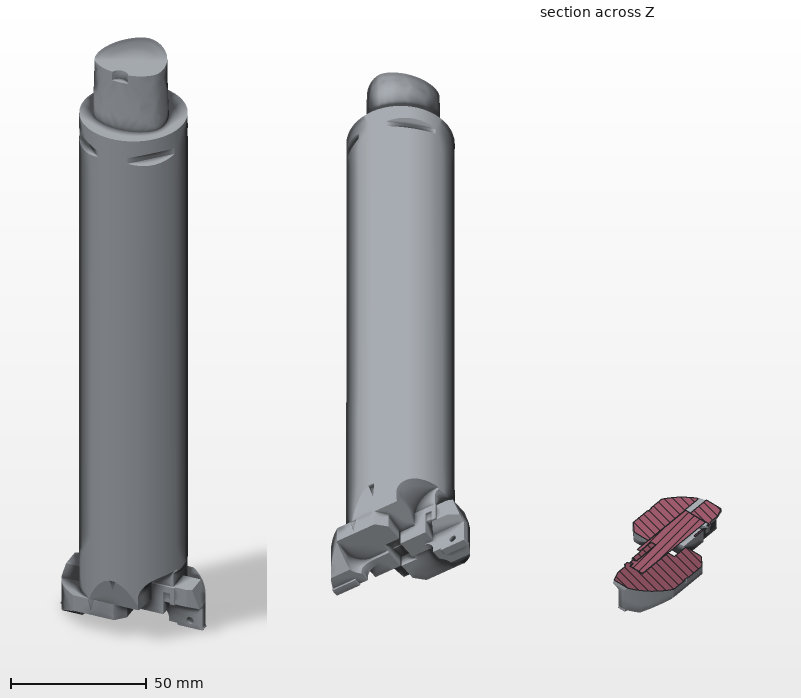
import cadquery as cq
import math


bar_radius = 20.0
shank_length = 24.0
bar_length = 220.0
cutting_radius = 28.0
left_drop = 0.65
margin = 10.0

polygon_diameter = 28.0
polygon_eccentricity = 1.0
taper_per_side = 1 / 40
key_radius = 3.5
key_centre_y = -13.6
key_depth = 3.6

groove_z = -8.6
groove_depth = 2.3
groove_floor = 2.4
groove_mouth = 5.2

seat_angle = math.radians(10)
seat_ridge_z = -207.6
flange_y = 17.2
seat_rim_z = seat_ridge_z + flange_y * math.tan(seat_angle)
relief_top_z = -193.2
side_flat_x = 18.0
side_flat_top_z = -193.0
side_flat_fillet = 2.0
gullet_x = 9.5
gullet_y = -4.4
gullet_top_z = -192.0
gullet_radius = 8.2

slide_top_z = -200.2
slide_bottom_z = -218.5
block_half_width = 4.4
plate_front_y = -5.2
plate_outer_x = 18.7
slide_outer_x = 27.7
lean_bottom_z = -208.5
block_top_x = 25.2
flange_inner_x = 3.3
flange_inner_y = 6.0
flange_chamfer = 3.7
flange_arc_middle = (23.2, 11.2)
flange_arc_end = (16.7, flange_y)
block_corner_x = 23.2
block_corner_y = -2.7
underside_rim_z = -211.6
underside_flat_y = 8.2
gap_half_width = 14.3
gap_top_z = -212.6
gap_fillet = 4.5
step_half_width = 17.0
step_top_z = -211.3
step_y = 2.9
step_fillet = 6.6
rake_top_z = -209.8
chip_ramp_top_z = seat_ridge_z
chip_recess_top_z = -202.9
chip_recess_x = 17.0
chip_recess_depth = 5.2

insert_inscribed_radius = 3.175
insert_thickness = 3.18
insert_nose_radius = 0.4
insert_hole_diameter = 2.8
insert_bottom_z = -bar_length + left_drop
insert_centre_z = insert_bottom_z + insert_inscribed_radius
insert_half_side = insert_inscribed_radius * math.sqrt(3)
nose_setback = insert_nose_radius * (math.sqrt(3) - 1)
insert_centre_x = cutting_radius - insert_half_side + nose_setback

arrow_width = 2.6
arrow_length = 5.2
slide_arrow_x = 9.6
bar_arrow_y = 18.5
slide_arrow_depth = 0.3


def box(x_range, y_range, z_range):
    """Axis-aligned box given by its limits."""
    spans = [high - low for low, high in (x_range, y_range, z_range)]
    return cq.Workplane("XY").box(*spans, centered=False).translate((x_range[0], y_range[0], z_range[0]))


def prism_along_y(points, y_low, y_high):
    """Prism along Y over a polygon of (x, z) points."""
    return cq.Workplane("XZ", origin=(0, y_high, 0)).polyline(points).close().extrude(y_high - y_low)


def prism_along_x(points, x_low, x_high):
    """Prism along X over a polygon of (y, z) points."""
    return cq.Workplane("YZ", origin=(x_low, 0, 0)).polyline(points).close().extrude(x_high - x_low)


def half_turn(shape):
    return shape.rotate((0, 0, 0), (0, 0, 1), 180)


def seat_height(y):
    return seat_ridge_z + abs(y) * math.tan(seat_angle)


def polygon_point(diameter):
    """Three-lobed coupling curve with one lobe towards +Y."""
    e = polygon_eccentricity

    def point(t):
        angle = 2 * math.pi * t
        across = diameter / 2 * math.cos(angle) - 2 * e * math.cos(2 * angle) + e * math.cos(4 * angle)
        along = diameter / 2 * math.sin(angle) + 2 * e * math.sin(2 * angle) + e * math.sin(4 * angle)
        return (along, -across)

    return point


def shank():
    top_diameter = polygon_diameter - 2 * taper_per_side * shank_length
    body = (
        cq.Workplane("XY")
        .parametricCurve(polygon_point(polygon_diameter))
        .workplane(offset=shank_length)
        .parametricCurve(polygon_point(top_diameter))
        .loft(ruled=True)
    )
    key = (
        cq.Workplane("XY", origin=(0, key_centre_y, shank_length - key_depth))
        .circle(key_radius)
        .extrude(key_depth + margin)
    )
    return body.cut(key)


def gripper_groove(angle):
    floor_x = bar_radius - groove_depth
    widening = (groove_mouth - groove_floor) / 2 / groove_depth
    outer_half = groove_floor / 2 + widening * (groove_depth + margin)
    outer_x = bar_radius + margin
    profile = [
        (floor_x, groove_z - groove_floor / 2),
        (outer_x, groove_z - outer_half),
        (outer_x, groove_z + outer_half),
        (floor_x, groove_z + groove_floor / 2),
    ]
    return prism_along_y(profile, -bar_radius, bar_radius).rotate((0, 0, 0), (0, 0, 1), angle)


def below_seat(drop):
    """Space under the +Y half of the roof-shaped seat."""
    far_y = bar_radius + margin
    profile = [
        (0, seat_ridge_z - drop),
        (far_y, seat_height(far_y) - drop),
        (far_y, -bar_length - margin),
        (0, -bar_length - margin),
    ]
    return prism_along_x(profile, -bar_radius - margin, bar_radius + margin)


def end_cuts():
    """Inclined flat on +Y, side flat on +X and the chip gullet in front of it."""
    lean = (bar_radius - flange_y) / (relief_top_z - seat_rim_z)
    deep_z = -bar_length
    deep_y = bar_radius - lean * (relief_top_z - deep_z)
    relief = prism_along_x(
        [(bar_radius, relief_top_z), (deep_y, deep_z), (bar_radius + margin, deep_z),
         (bar_radius + margin, relief_top_z)],
        -bar_radius, bar_radius,
    )
    outer_x = bar_radius + margin
    flat = (
        box((side_flat_x, outer_x), (gullet_y, bar_radius), (deep_z, side_flat_top_z))
        .edges("|Y and <X and >Z").fillet(side_flat_fillet)
    )
    gullet = (
        box((gullet_x, outer_x), (-bar_radius, gullet_y), (deep_z, gullet_top_z))
        .edges("|Y and <X and >Z").fillet(gullet_radius)
    )
    return [relief, flat, gullet]


def arrow(x, floor_y, top_z):
    """Downward index arrow, cut into a face on the +Y side."""
    points = [(x - arrow_width / 2, top_z), (x + arrow_width / 2, top_z), (x, top_z - arrow_length)]
    return prism_along_y(points, floor_y, floor_y + margin)


def make_bar():
    bar = cq.Workplane("XY").circle(bar_radius).extrude(-bar_length)
    for quarter in range(4):
        bar = bar.cut(gripper_groove(45 + 90 * quarter))
    for cutter in end_cuts():
        bar = bar.cut(cutter).cut(half_turn(cutter))
    bar = bar.cut(below_seat(0)).cut(half_turn(below_seat(left_drop)))
    bar_arrow = arrow(0, bar_arrow_y, relief_top_z)
    bar = bar.cut(bar_arrow).cut(half_turn(bar_arrow))
    return bar.union(shank())


def insert_blank():
    """Triangular plate with a level lower edge and its rake face at Y = 0."""
    points = [
        (insert_centre_x - insert_half_side, insert_bottom_z),
        (insert_centre_x + insert_half_side, insert_bottom_z),
        (insert_centre_x, insert_bottom_z + 3 * insert_inscribed_radius),
    ]
    return prism_along_y(points, 0, insert_thickness).edges("|Y").fillet(insert_nose_radius)


def make_insert():
    hole = (
        cq.Workplane("XZ", origin=(insert_centre_x, insert_thickness, insert_centre_z))
        .circle(insert_hole_diameter / 2)
        .extrude(insert_thickness)
    )
    return insert_blank().cut(hole)


def slide_plan():
    """Plan of the slide, extruded over its full height."""
    return (
        cq.Workplane("XY", origin=(0, 0, slide_bottom_z))
        .moveTo(flange_inner_x, plate_front_y)
        .lineTo(plate_outer_x, plate_front_y)
        .lineTo(plate_outer_x, -block_half_width)
        .lineTo(block_corner_x, -block_half_width)
        .lineTo(slide_outer_x, block_corner_y)
        .lineTo(slide_outer_x, -block_corner_y)
        .threePointArc(flange_arc_middle, flange_arc_end)
        .lineTo(flange_chamfer - flange_inner_x, flange_y)
        .lineTo(-flange_inner_x, flange_y - flange_chamfer)
        .lineTo(-flange_inner_x, flange_inner_y)
        .lineTo(flange_inner_x, flange_inner_y)
        .close()
        .extrude(slide_top_z - slide_bottom_z)
    )


def above_ridge(half_width, x_high):
    """Space over the roof-shaped seat, from beyond the flange up to x_high."""
    rim_z = seat_height(half_width)
    high_z = slide_top_z + margin
    profile = [
        (-half_width, rim_z),
        (0, seat_ridge_z),
        (half_width, rim_z),
        (half_width, high_z),
        (-half_width, high_z),
    ]
    return prism_along_x(profile, -margin, x_high)


def above_flange():
    """Space over the sloping flange top, leaving the block and front plate standing."""
    outer_x = cutting_radius + margin
    far_y = bar_radius + margin
    high_z = slide_top_z + margin
    behind_block = prism_along_x(
        [(block_half_width, seat_height(block_half_width)), (far_y, seat_height(far_y)),
         (far_y, high_z), (block_half_width, high_z)],
        -outer_x, outer_x,
    )
    under_bar = above_ridge(margin, gullet_x)
    under_side_flat = above_ridge(block_half_width, side_flat_x)
    return [behind_block, under_bar, under_side_flat]


def slide_end_cuts():
    """Leaning outer end, sloping underside and the gap between the two slides."""
    lean = prism_along_y(
        [(block_top_x, slide_top_z), (slide_outer_x, lean_bottom_z),
         (slide_outer_x + margin, lean_bottom_z), (slide_outer_x + margin, slide_top_z)],
        -bar_radius, bar_radius,
    )
    underside = prism_along_x(
        [(flange_y, underside_rim_z), (flange_y, slide_bottom_z), (underside_flat_y, slide_bottom_z)],
        -cutting_radius, cutting_radius,
    )
    low_z = slide_bottom_z - margin
    gap = (
        box((-gap_half_width, gap_half_width), (-bar_radius, bar_radius), (low_z, gap_top_z))
        .edges("|Y and >Z").fillet(gap_fillet)
    )
    step = (
        box((-margin, step_half_width), (step_y, bar_radius), (low_z, step_top_z))
        .edges("|Z and >X and <Y").fillet(step_fillet)
    )
    return [lean, underside, gap, step]


def chip_pocket():
    """Space in front of the rake face, with a ramp above it and a wedge recess beside it.

    The last cutter squares off the lower edge of the front plate.
    """
    ramp = prism_along_x(
        [(0, rake_top_z), (-block_half_width, chip_ramp_top_z), (-margin, chip_ramp_top_z),
         (-margin, slide_bottom_z), (0, slide_bottom_z)],
        gap_half_width, cutting_radius,
    )
    recess = (
        cq.Workplane("XY", origin=(0, 0, rake_top_z))
        .polyline([(gap_half_width, plate_front_y), (chip_recess_x, plate_front_y),
                   (gap_half_width, plate_front_y + chip_recess_depth)])
        .close()
        .extrude(chip_recess_top_z - rake_top_z)
    )
    below_plate = box(
        (-gap_half_width, gap_half_width), (plate_front_y, 0), (slide_bottom_z, gap_top_z)
    )
    return [ramp, recess, below_plate]


def make_slide():
    slide = slide_plan()
    for cutter in above_flange() + slide_end_cuts() + chip_pocket():
        slide = slide.cut(cutter)
    slide = slide.cut(insert_blank())
    slide = slide.cut(arrow(slide_arrow_x, flange_y - slide_arrow_depth, seat_rim_z))
    return slide


def to_left(shape):
    return half_turn(shape).translate((0, 0, -left_drop))


right_slide = make_slide()
right_insert = make_insert()
left_slide = to_left(right_slide)
left_insert = to_left(right_insert)
bar = make_bar().cut(right_slide)
bodies = [bar, right_slide, right_insert, left_slide, left_insert]
result = cq.Compound.makeCompound([body.solids().val() for body in bodies])